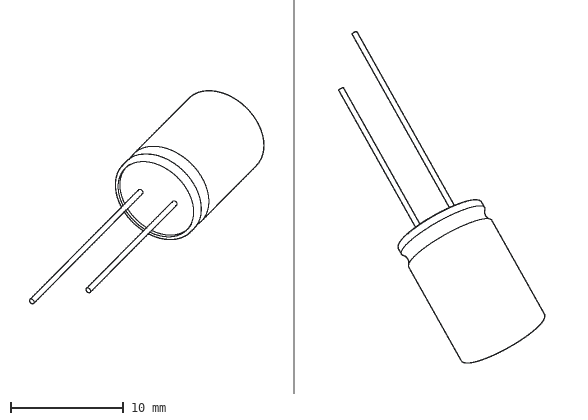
import cadquery as cq

total_length = 31.0
can_length = 12.0
can_diameter = 8.5
edge_radius = 0.2

groove_center = 1.4
groove_width = 1.33
groove_depth = 0.28

seal_radius = 3.88
seal_recess = 0.3

lead_diameter = 0.5
lead_spacing = 3.5
long_lead_length = total_length - can_length
short_lead_length = 15.05

can_radius = can_diameter / 2
groove_start = groove_center - groove_width / 2
groove_end = groove_center + groove_width / 2


def make_can():
    """Revolve the half profile of the can, with its lead end at Y = 0."""
    profile = (
        cq.Workplane("XY")
        .moveTo(0, seal_recess)
        .lineTo(seal_radius, seal_recess)
        .lineTo(seal_radius, 0)
        .lineTo(can_radius, 0)
        .lineTo(can_radius, groove_start)
        .threePointArc((can_radius - groove_depth, groove_center), (can_radius, groove_end))
        .lineTo(can_radius, can_length)
        .lineTo(0, can_length)
        .close()
    )
    can = profile.revolve(360, (0, 0, 0), (0, 1, 0))
    outer_edge = cq.selectors.RadiusNthSelector(-1)
    can = can.faces(">Y").edges().fillet(edge_radius)
    return can.faces("<Y").edges(outer_edge).fillet(edge_radius)


def make_lead(x, length):
    """Round wire from the seal face to the given distance below the can."""
    return (
        cq.Workplane("XZ", origin=(x, seal_recess, 0))
        .circle(lead_diameter / 2)
        .extrude(length + seal_recess)
    )


result = (
    make_can()
    .union(make_lead(-lead_spacing / 2, long_lead_length))
    .union(make_lead(lead_spacing / 2, short_lead_length))
)